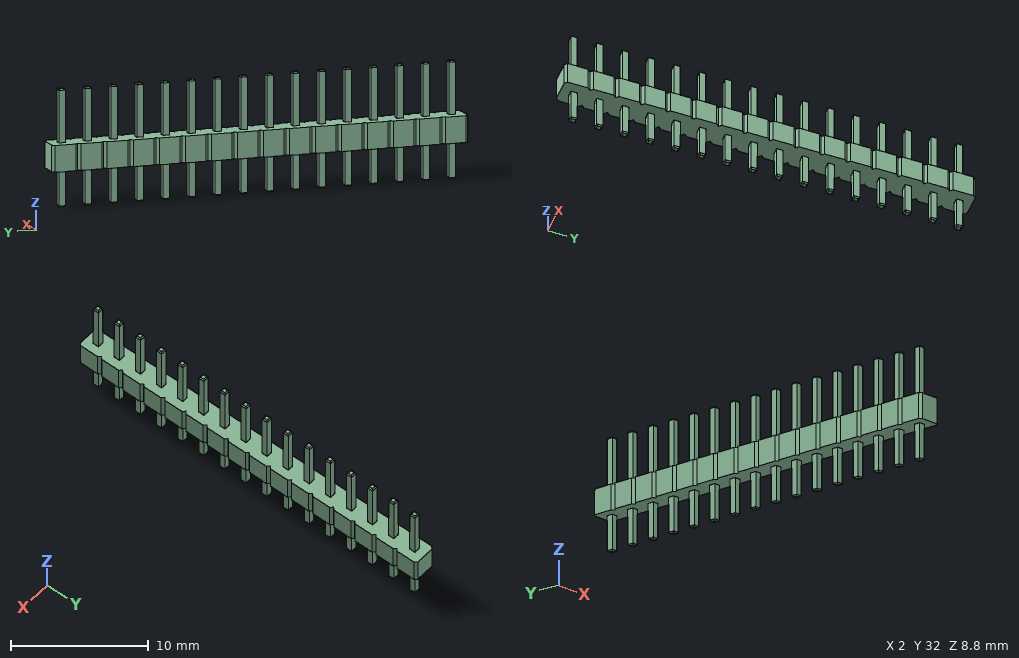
import cadquery as cq

pin_count = 16
row_length = 32.0
pitch = row_length / pin_count
body_width = pitch
body_height = pitch
corner_chamfer = pitch / 10

pin_width = pitch / 4
pin_above = 2 * pitch
pin_height = 8.8
pin_below = pin_height - body_height - pin_above
tip_chamfer = pitch / 20


def cell_center(index):
    """Y position of a cell, with the row centred on the origin."""
    return (index - (pin_count - 1) / 2) * pitch


def make_cell(y):
    """One housing cell; its chamfered corners form V notches with its neighbours."""
    return (
        cq.Workplane("XY")
        .center(0, y)
        .rect(body_width, pitch)
        .extrude(body_height)
        .edges("|Z")
        .chamfer(corner_chamfer)
    )


def make_pin(y):
    """One square pin passing through the housing, chamfered at both tips."""
    return (
        cq.Workplane("XY", origin=(0, y, -pin_below))
        .rect(pin_width, pin_width)
        .extrude(pin_height)
        .faces("<Z or >Z")
        .edges()
        .chamfer(tip_chamfer)
    )


def make_position(index):
    """One complete position of the row: a housing cell with its pin."""
    y = cell_center(index)
    return make_cell(y).union(make_pin(y))


result = make_position(0)
for position in range(1, pin_count):
    result = result.union(make_position(position))

result = result.clean()